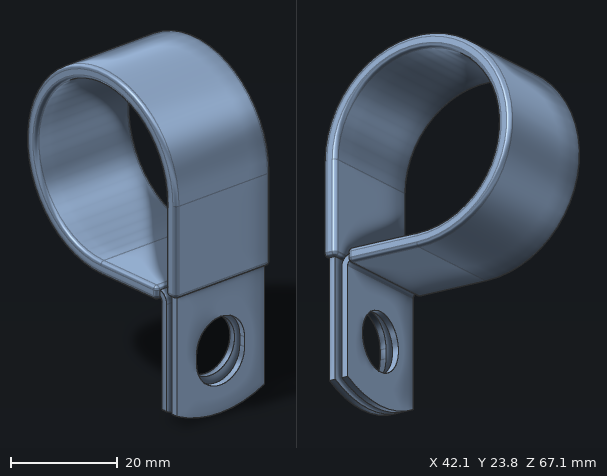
import cadquery as cq
import math

outer_radius = 21.05
cushion_thickness = 2.8
cushion_width = 23.8
cushion_edge_radius = 0.8
upright_leg_end = 19.05
level_leg_end = 15.6

strap_thickness = 1.35
strap_width = 22.0
tab_pitch = 2.8
bend_outer_radius = 2.4
tab_bottom = outer_radius - 67.1
tab_tip_height = 2.55
hole_diameter = 12.0
hole_height = 12.75
slot_length = 14.0

mid_radius = outer_radius - cushion_thickness / 2
inner_radius = outer_radius - cushion_thickness
strap_inner_radius = mid_radius - strap_thickness / 2
strap_outer_radius = mid_radius + strap_thickness / 2
bent_tab_outer_x = strap_outer_radius - tab_pitch
bent_tab_inner_x = bent_tab_outer_x - strap_thickness
bend_center_x = bent_tab_outer_x - bend_outer_radius
bend_center_z = -strap_inner_radius - bend_outer_radius
bend_inner_radius = bend_outer_radius - strap_thickness


def diagonal_point(radius):
    """Middle of the three-quarter loop, on its upper left diagonal."""
    offset = radius * math.sqrt(0.5)
    return (-offset, offset)


def make_cushion():
    """Three-quarter loop with two straight legs and rounded edges."""
    profile = (
        cq.Workplane("XZ")
        .moveTo(outer_radius, -upright_leg_end)
        .lineTo(outer_radius, 0)
        .threePointArc(diagonal_point(outer_radius), (0, -outer_radius))
        .lineTo(level_leg_end, -outer_radius)
        .lineTo(level_leg_end, -inner_radius)
        .lineTo(0, -inner_radius)
        .threePointArc(diagonal_point(inner_radius), (inner_radius, 0))
        .lineTo(inner_radius, -upright_leg_end)
        .close()
    )
    body = profile.extrude(cushion_width / 2, both=True)
    rim_edges = body.faces("|Y").edges()
    end_edges = body.edges("|Y").filter(is_leg_end)
    return body.newObject(rim_edges.vals() + end_edges.vals()).fillet(cushion_edge_radius)


def is_leg_end(edge):
    """True for the cross edges at the free ends of the cushion legs."""
    center = edge.Center()
    on_level_leg = abs(center.x - level_leg_end) < 0.01
    on_upright_leg = abs(center.z + upright_leg_end) < 0.01
    return on_level_leg or on_upright_leg


def make_strap_ends():
    """Straight tab and bent tab, both starting inside the cushion."""
    straight_tab = (
        cq.Workplane("XZ")
        .moveTo(strap_inner_radius, 0)
        .lineTo(strap_outer_radius, 0)
        .lineTo(strap_outer_radius, tab_bottom)
        .lineTo(strap_inner_radius, tab_bottom)
        .close()
        .extrude(strap_width / 2, both=True)
    )
    diagonal = math.sqrt(0.5)
    bend_outer_mid = (
        bend_center_x + bend_outer_radius * diagonal,
        bend_center_z + bend_outer_radius * diagonal,
    )
    bend_inner_mid = (
        bend_center_x + bend_inner_radius * diagonal,
        bend_center_z + bend_inner_radius * diagonal,
    )
    bent_tab = (
        cq.Workplane("XZ")
        .moveTo(0, -strap_inner_radius)
        .lineTo(bend_center_x, -strap_inner_radius)
        .threePointArc(bend_outer_mid, (bent_tab_outer_x, bend_center_z))
        .lineTo(bent_tab_outer_x, tab_bottom)
        .lineTo(bent_tab_inner_x, tab_bottom)
        .lineTo(bent_tab_inner_x, bend_center_z)
        .threePointArc(bend_inner_mid, (bend_center_x, -strap_outer_radius))
        .lineTo(0, -strap_outer_radius)
        .close()
        .extrude(strap_width / 2, both=True)
    )
    return straight_tab.union(bent_tab)


def make_tab_outline():
    """Block along X with the rounded tab end and the bolt hole."""
    half_width = strap_width / 2
    shoulder = tab_bottom + tab_tip_height
    return (
        cq.Workplane("YZ")
        .moveTo(-half_width, 0)
        .lineTo(-half_width, shoulder)
        .threePointArc((0, tab_bottom), (half_width, shoulder))
        .lineTo(half_width, 0)
        .close()
        .moveTo(0, tab_bottom + hole_height)
        .circle(hole_diameter / 2)
        .extrude(outer_radius)
    )


def make_straight_tab_slot():
    """Cutter stretching the hole of the straight tab into a vertical slot."""
    return (
        cq.Workplane("YZ")
        .workplane(offset=strap_inner_radius)
        .center(0, tab_bottom + hole_height)
        .slot2D(slot_length, hole_diameter, 90)
        .extrude(strap_thickness)
    )


strap_ends = make_strap_ends().intersect(make_tab_outline()).cut(make_straight_tab_slot())
result = make_cushion().union(strap_ends)